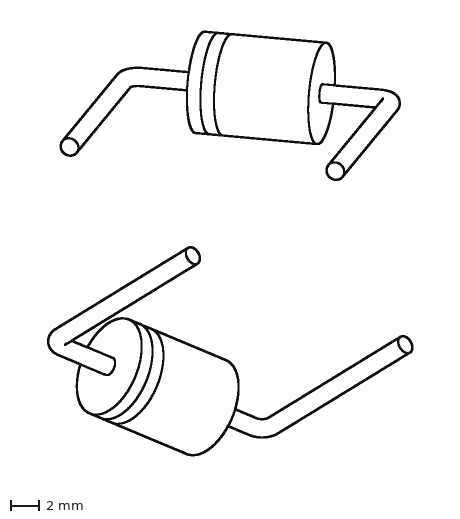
import cadquery as cq
import math

overall_width = 20.75
overall_depth = 19.25
housing_diameter = 7.2
housing_length = 8.88
lead_diameter = 1.3
bend_radius = 1.0

band_width = 1.0
band_offset = 1.0
band_thickness = 0.1

housing_radius = housing_diameter / 2
housing_end_x = housing_length / 2
band_start_x = -housing_end_x + band_offset
lead_x = (overall_width - lead_diameter) / 2
lead_tip_y = housing_radius - overall_depth


def make_band():
    """Thin ring, flush with the outside of the housing."""
    return (
        cq.Workplane("YZ", origin=(band_start_x, 0, 0))
        .circle(housing_radius)
        .circle(housing_radius - band_thickness)
        .extrude(band_width)
    )


def make_housing(band):
    """Solid cylinder with a groove that holds the band."""
    cylinder = (
        cq.Workplane("YZ", origin=(-housing_end_x, 0, 0))
        .circle(housing_radius)
        .extrude(housing_length)
    )
    return cylinder.cut(band)


def make_lead(side):
    """Round wire from a housing end face, bent toward -Y; side is -1 or +1 along X."""
    bend_start_x = lead_x - bend_radius
    bend_mid_x = bend_start_x + bend_radius * math.sin(math.pi / 4)
    bend_mid_y = -bend_radius * (1 - math.cos(math.pi / 4))
    path = (
        cq.Workplane("XY")
        .moveTo(side * housing_end_x, 0)
        .lineTo(side * bend_start_x, 0)
        .threePointArc((side * bend_mid_x, bend_mid_y), (side * lead_x, -bend_radius))
        .lineTo(side * lead_x, lead_tip_y)
    )
    return (
        cq.Workplane("YZ", origin=(side * housing_end_x, 0, 0))
        .circle(lead_diameter / 2)
        .sweep(path)
    )


band = make_band()
housing = make_housing(band)
leads = [make_lead(side) for side in (-1, 1)]

result = cq.Compound.makeCompound([housing.val(), band.val(), *[lead.val() for lead in leads]])